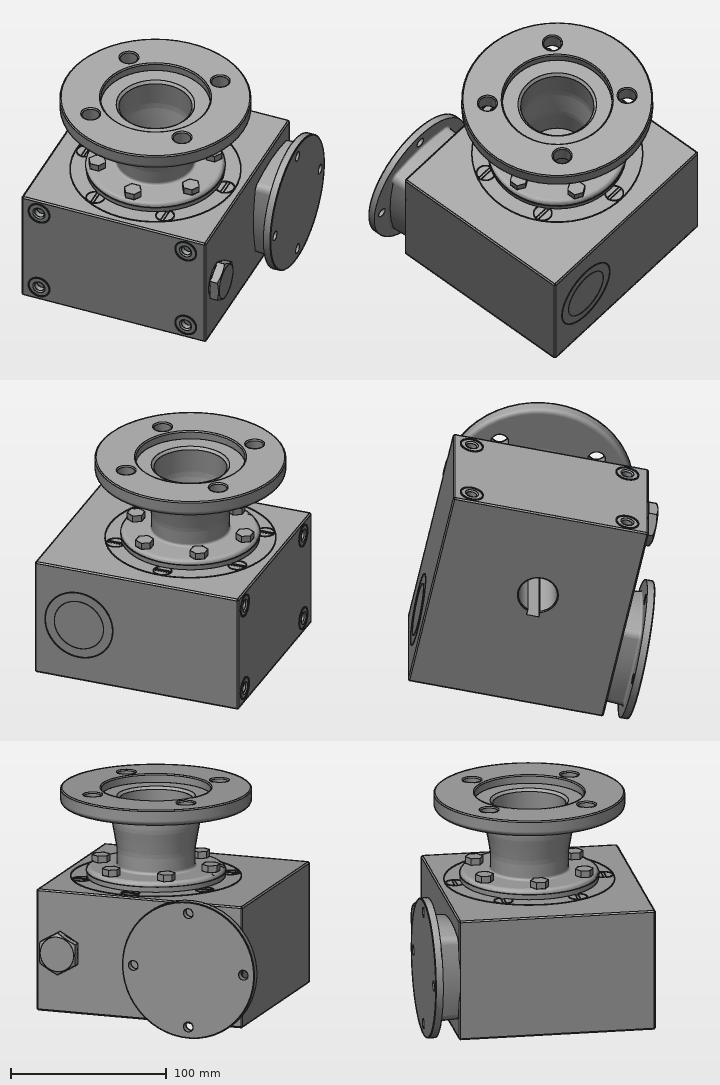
import cadquery as cq
import math


overall_height = 143.5
input_flange_diameter = 90.1
input_flange_radius = input_flange_diameter / 2

body_left = 68.0
body_right = 60.0
body_front = 60.0
body_back = 80.5
body_height = 80.1
body_chamfer = 1.0
body_top = body_height / 2

flange_radius = 61.3
flange_top = overall_height - input_flange_radius
flange_thickness = 10.5
flange_top_chamfer = 0.8
flange_under_fillet = 3.0
flange_hole_diameter = 11.3
flange_hole_count = 4
flange_hole_start_angle = 45
flange_hole_circle_radius = 44.9
flange_hole_chamfer = 0.8
flange_bottom = flange_top - flange_thickness

collar_radius = 44.5
collar_step_z = body_top + 3.5
collar_rim_radius = 44.9
collar_rim_round = 3.1
collar_top = body_top + 6.4

neck_lower_radius = 25.0
neck_upper_radius = 28.0
neck_root_fillet = 1.9
neck_flange_fillet = 4.7
cone_top = 75.1
cone_bottom = 58.4
cone_blend_radius = 17.2

spigot_diameter = 70.5
spigot_depth = 5.6
spigot_chamfer = 0.8
seal_bore_diameter = 47.0
seal_bore_chamfer = 1.7
lower_bore_diameter = 39.5
shaft_bore_diameter = 25.0
shaft_bore_chamfer = 0.6
key_width = 8.0
key_top = 15.8
bore_cone_drop = 1.9
spigot_floor = flange_top - spigot_depth
bore_cone_top = cone_top - bore_cone_drop
bore_cone_bottom = cone_bottom - bore_cone_drop

bolt_count = 6
bolt_start_angle = 30
bolt_circle_radius = 37.5
bolt_flats = 10.0
bolt_head_height = 4.4

cover_diameter = 110.0
joint_width = 0.3
joint_depth = 0.3
cover_screw_count = 6
cover_screw_circle_radius = 48.5
cover_screw_diameter = 12.0
screw_slot_width = 1.9
screw_slot_depth = 0.6

socket_x_offset = 51.0
socket_x_centre = -5.0
socket_z = 30.0
socket_recess_diameter = 15.0
socket_head_diameter = 14.0
socket_recess_depth = 0.5
socket_hole_diameter = 6.5
socket_mouth_diameter = 8.5
socket_hole_depth = 4.7

input_y = 50.1
cap_diameter = 47.0
cap_recess_diameter = 34.0
cap_recess_depth = 0.2

input_flange_thickness = 5.0
input_flange_face = 78.0
input_flange_chamfer = 0.5
input_hole_count = 4
input_hole_circle_radius = 37.5
input_hole_diameter = 6.4
input_neck_half_width = 31.3
input_neck_side_radius = 100.2
input_neck_corner_radius = 6.0
input_neck_taper = 3.5
input_neck_fillet = 1.5
input_flange_back = input_flange_face - input_flange_thickness

plug_y = -43.4
plug_seat_diameter = 23.3
plug_seat_height = 1.1
plug_flats = 24.1
plug_head_height = 6.3
plug_chamfer_length = 1.1
plug_chamfer_drop = 2.5

selection_margin = 0.2


def ring(plane, outer_diameter, width, depth):
    """Thin ring that reaches `depth` below the plane."""
    return (
        cq.Workplane(plane)
        .circle(outer_diameter / 2)
        .circle(outer_diameter / 2 - width)
        .extrude(-depth)
    )


def hexagon_corners(across_flats):
    """Size across corners of a hexagon."""
    return across_flats / math.cos(math.pi / 6)


def polar_points(count, radius, start_degrees=0):
    angles = [math.radians(start_degrees + 360 * i / count) for i in range(count)]
    return [(radius * math.cos(a), radius * math.sin(a)) for a in angles]


def blend_cone_ends(turned, bottom, top):
    """Round the two shallow circular edges at the two ends of a cone."""
    reach = flange_radius
    cone_ends = cq.selectors.BoxSelector(
        (-reach, -reach, bottom - selection_margin),
        (reach, reach, top + selection_margin),
    )
    return turned.edges("%CIRCLE").edges(cone_ends).fillet(cone_blend_radius)


def make_housing():
    return (
        cq.Workplane("XY")
        .box(body_left + body_right, body_front + body_back, body_height, centered=False)
        .translate((-body_left, -body_front, -body_top))
        .edges()
        .chamfer(body_chamfer)
    )


def make_output_flange():
    """Collar, neck and flange turned about the output axis."""
    diagonal = math.sqrt(0.5)
    round_x = collar_rim_radius - collar_rim_round
    round_z = collar_top - collar_rim_round
    under_x = flange_radius - flange_under_fillet
    under_z = flange_bottom + flange_under_fillet
    root_x = neck_lower_radius + neck_root_fillet
    root_z = collar_top + neck_root_fillet
    throat_x = neck_upper_radius + neck_flange_fillet
    throat_z = flange_bottom - neck_flange_fillet
    turned = (
        cq.Workplane("XZ")
        .moveTo(0, 0)
        .lineTo(collar_radius, 0)
        .lineTo(collar_radius, collar_step_z)
        .lineTo(collar_rim_radius, collar_step_z)
        .threePointArc(
            (round_x + collar_rim_round * diagonal, round_z + collar_rim_round * diagonal),
            (round_x, collar_top),
        )
        .lineTo(root_x, collar_top)
        .threePointArc(
            (root_x - neck_root_fillet * diagonal, root_z - neck_root_fillet * diagonal),
            (neck_lower_radius, root_z),
        )
        .lineTo(neck_lower_radius, cone_bottom)
        .lineTo(neck_upper_radius, cone_top)
        .lineTo(neck_upper_radius, throat_z)
        .threePointArc(
            (throat_x - neck_flange_fillet * diagonal, throat_z + neck_flange_fillet * diagonal),
            (throat_x, flange_bottom),
        )
        .lineTo(under_x, flange_bottom)
        .threePointArc(
            (under_x + flange_under_fillet * diagonal, under_z - flange_under_fillet * diagonal),
            (flange_radius, under_z),
        )
        .lineTo(flange_radius, flange_top - flange_top_chamfer)
        .lineTo(flange_radius - flange_top_chamfer, flange_top)
        .lineTo(0, flange_top)
        .close()
        .revolve(360, (0, 0, 0), (0, 1, 0))
    )
    return blend_cone_ends(turned, cone_bottom, cone_top)


def make_output_bore():
    """Spigot recess, stepped bore, and keyed shaft bore through the housing."""
    spigot_r = spigot_diameter / 2
    seal_r = seal_bore_diameter / 2
    lower_r = lower_bore_diameter / 2
    shaft_r = shaft_bore_diameter / 2
    turned = (
        cq.Workplane("XZ")
        .polyline(
            [
                (0, -body_top),
                (shaft_r + shaft_bore_chamfer, -body_top),
                (shaft_r, -body_top + shaft_bore_chamfer),
                (shaft_r, body_top - shaft_bore_chamfer),
                (shaft_r + shaft_bore_chamfer, body_top),
                (lower_r, body_top),
                (lower_r, bore_cone_bottom),
                (seal_r, bore_cone_top),
                (seal_r, spigot_floor - seal_bore_chamfer),
                (seal_r + seal_bore_chamfer, spigot_floor),
                (spigot_r, spigot_floor),
                (spigot_r, flange_top - spigot_chamfer),
                (spigot_r + spigot_chamfer, flange_top),
                (0, flange_top),
            ]
        )
        .close()
        .revolve(360, (0, 0, 0), (0, 1, 0))
    )
    keyway = cq.Workplane("XY").box(key_width, key_top, body_height, centered=(True, False, True))
    return blend_cone_ends(turned, bore_cone_bottom, bore_cone_top).union(keyway)


def make_flange_holes():
    radius = flange_hole_diameter / 2
    hole = (
        cq.Workplane("XZ")
        .polyline(
            [
                (0, flange_bottom),
                (radius, flange_bottom),
                (radius, flange_top - flange_hole_chamfer),
                (radius + flange_hole_chamfer, flange_top),
                (0, flange_top),
            ]
        )
        .close()
        .revolve(360, (0, 0, 0), (0, 1, 0))
    )
    holes = cq.Workplane("XY")
    for x, y in polar_points(flange_hole_count, flange_hole_circle_radius, flange_hole_start_angle):
        holes = holes.union(hole.translate((x, y, 0)))
    return holes


def make_collar_bolts():
    return (
        cq.Workplane("XY", origin=(0, 0, collar_top))
        .pushPoints(polar_points(bolt_count, bolt_circle_radius, bolt_start_angle))
        .polygon(6, hexagon_corners(bolt_flats))
        .extrude(bolt_head_height)
    )


def make_cover_grooves():
    """Joint around the top cover, and the slotted screws across that cover's rim."""
    grooves = ring(cq.Plane.XY((0, 0, body_top)), cover_diameter, joint_width, joint_depth)
    for x, y in polar_points(cover_screw_count, cover_screw_circle_radius):
        face = cq.Plane.XY((x, y, body_top))
        disc = cq.Workplane(face).circle(cover_screw_diameter / 2).extrude(-screw_slot_depth)
        bar = cq.Workplane(face).rect(screw_slot_width, cover_screw_diameter).extrude(-screw_slot_depth)
        slot = bar.intersect(disc)
        grooves = grooves.union(ring(face, cover_screw_diameter, joint_width, joint_depth)).union(slot)
    return grooves


def make_socket_screws():
    """Gaps around the screw heads in the -Y face, with their coned round sockets."""
    mouth_r = socket_mouth_diameter / 2
    hole_r = socket_hole_diameter / 2
    socket = (
        cq.Workplane("XY")
        .polyline(
            [
                (0, 0),
                (mouth_r, 0),
                (hole_r, mouth_r - hole_r),
                (hole_r, socket_hole_depth),
                (0, socket_hole_depth),
            ]
        )
        .close()
        .revolve(360, (0, 0, 0), (0, 1, 0))
    )
    gap_width = (socket_recess_diameter - socket_head_diameter) / 2
    gap = ring(cq.Plane.XZ(), socket_recess_diameter, gap_width, socket_recess_depth)
    screw = socket.union(gap)
    screws = cq.Workplane("XY")
    for side in (-1, 1):
        for level in (-1, 1):
            place = (socket_x_centre + side * socket_x_offset, -body_front, level * socket_z)
            screws = screws.union(screw.translate(place))
    return screws


def make_cap_grooves():
    face = cq.Plane(origin=(-body_left, input_y, 0), xDir=(0, -1, 0), normal=(-1, 0, 0))
    joint = ring(face, cap_diameter, joint_width, joint_depth)
    recess = cq.Workplane(face).circle(cap_recess_diameter / 2).extrude(-cap_recess_depth)
    return joint.union(recess)


def bulged_square(plane):
    """Square outline with outward-curved sides and tangent rounded corners."""
    side_r = input_neck_side_radius
    corner_r = input_neck_corner_radius
    setback = side_r - input_neck_half_width
    c = (math.sqrt(2 * (side_r - corner_r) ** 2 - setback**2) - setback) / 2
    reach = side_r / (side_r - corner_r)
    along = c * reach
    out = (c + setback) * reach - setback
    corner = c + corner_r * math.sqrt(0.5)

    def turned(point, quarter):
        x, y = point
        for _ in range(quarter):
            x, y = -y, x
        return (x, y)

    outline = cq.Workplane(plane).moveTo(out, -along)
    for quarter in range(4):
        outline = outline.threePointArc(
            turned((input_neck_half_width, 0), quarter), turned((out, along), quarter)
        ).threePointArc(turned((corner, corner), quarter), turned((along, out), quarter))
    return outline.close()


def make_input_flange():
    back = cq.Plane(origin=(input_flange_back, input_y, 0), xDir=(0, -1, 0), normal=(-1, 0, 0))
    plate = (
        cq.Workplane(back)
        .circle(input_flange_radius)
        .extrude(-input_flange_thickness)
        .faces(">X")
        .chamfer(input_flange_chamfer)
        .cut(
            cq.Workplane(back)
            .pushPoints(polar_points(input_hole_count, input_hole_circle_radius))
            .circle(input_hole_diameter / 2)
            .extrude(-input_flange_thickness)
        )
    )
    neck_length = input_flange_back - body_right + body_chamfer
    neck = bulged_square(back).extrude(neck_length, taper=input_neck_taper)
    joined = plate.union(neck)
    root_reach = (input_neck_half_width + input_flange_radius) / 2
    root = cq.selectors.BoxSelector(
        (input_flange_back - selection_margin, input_y - root_reach, -root_reach),
        (input_flange_back + selection_margin, input_y + root_reach, root_reach),
        boundingbox=True,
    )
    return joined.edges(root).fillet(input_neck_fillet)


def make_oil_plug():
    """Hexagon plug with a coned outer end on a round seat."""
    seat_x = body_right + plug_seat_height
    corners = hexagon_corners(plug_flats)
    seat = (
        cq.Workplane("YZ", origin=(body_right - body_chamfer, plug_y, 0))
        .circle(plug_seat_diameter / 2)
        .extrude(plug_seat_height + body_chamfer)
    )
    cone = (
        cq.Workplane("YZ", origin=(seat_x, plug_y, 0))
        .circle(corners / 2)
        .extrude(plug_head_height)
        .faces(">X")
        .chamfer(plug_chamfer_length, plug_chamfer_drop)
    )
    head = (
        cq.Workplane("YZ", origin=(seat_x, plug_y, 0))
        .transformed(rotate=(0, 0, 90))
        .polygon(6, corners)
        .extrude(plug_head_height)
        .intersect(cone)
    )
    return seat.union(head)


housing = make_housing().cut(make_cover_grooves()).cut(make_socket_screws()).cut(make_cap_grooves())
result = (
    housing
    .union(make_output_flange())
    .union(make_input_flange())
    .union(make_oil_plug())
    .union(make_collar_bolts())
    .cut(make_output_bore())
    .cut(make_flange_holes())
)